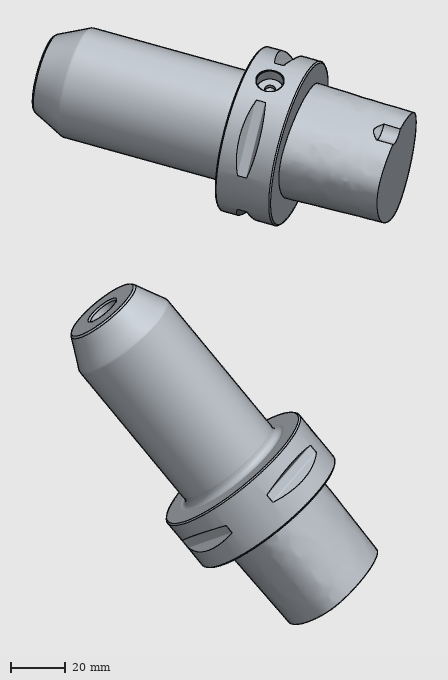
import cadquery as cq
import math

length = 138.0
nose_end = 12.4
neck_start = 74.5
undercut_start = 75.8
flange_start = 78.0
flange_end = 99.8

body_diameter = 42.0
neck_diameter = 41.8
flange_diameter = 63.0
nose_diameter = 30.5
nose_chamfer = 0.7
shoulder_length = 0.5
shoulder_drop = 0.1
neck_ramp = 0.4
flange_chamfer = 0.5

undercut_radius = 2.3
undercut_rim_width = 1.0

bore_diameter = 12.0
bore_depth = 44.2
bore_chamfer = 0.7

shank_radius = 22.1
shank_taper = 1 / 40
lobe_height = 1.5
lobe_count = 3
outline_points = 72

slot_x = 88.2
slot_count = 4
slot_floor_radius = 28.0
slot_floor_width = 3.6
slot_wall_angle = 30.0
slot_floor_fillet = 0.4

screw_diameter = 10.0
screw_chamfer = 0.3
screw_floor_z = 26.4
screw_socket_diameter = 4.0
screw_socket_depth = 1.4
screw_socket_cone = 1.1

notch_diameter = 10.0
notch_length = 6.5
notch_floor_z = 17.4
notch_cone_length = 5.0


def turned_body():
    """Nose, body, undercut neck and flange, revolved about X."""
    nose_r = nose_diameter / 2
    body_r = body_diameter / 2
    neck_r = neck_diameter / 2
    flange_r = flange_diameter / 2
    undercut_end = undercut_start + undercut_radius
    undercut_r = neck_r + undercut_radius
    bend = undercut_radius * math.sqrt(0.5)
    profile = (
        cq.Workplane("XY")
        .lineTo(0, nose_r - nose_chamfer)
        .lineTo(nose_chamfer, nose_r)
        .lineTo(nose_end, body_r - shoulder_drop)
        .lineTo(nose_end + shoulder_length, body_r)
        .lineTo(neck_start, body_r)
        .lineTo(neck_start + neck_ramp, neck_r)
        .lineTo(undercut_start, neck_r)
        .threePointArc((undercut_start + bend, undercut_r - bend), (undercut_end, undercut_r))
        .lineTo(flange_start, undercut_r + undercut_rim_width)
        .lineTo(flange_start, flange_r - flange_chamfer)
        .lineTo(flange_start + flange_chamfer, flange_r)
        .lineTo(flange_end - flange_chamfer, flange_r)
        .lineTo(flange_end, flange_r - flange_chamfer)
        .lineTo(flange_end, 0)
        .close()
    )
    return profile.revolve(360, (0, 0, 0), (1, 0, 0))


def shank_section(x):
    """Closed three-lobed curve of constant width in the plane at x."""
    radius = shank_radius - shank_taper * (x - flange_end)
    points = []
    for i in range(outline_points):
        angle = 2 * math.pi * i / outline_points
        reach = radius - lobe_height * math.cos(lobe_count * angle)
        slide = lobe_count * lobe_height * math.sin(lobe_count * angle)
        y = reach * math.sin(angle) + slide * math.cos(angle)
        z = reach * math.cos(angle) - slide * math.sin(angle)
        points.append((y, z))
    section = cq.Workplane("YZ", origin=(x, 0, 0)).spline(points, periodic=True).close()
    return section.val()


def shank():
    sections = [shank_section(flange_end), shank_section(length)]
    return cq.Workplane(cq.Solid.makeLoft(sections, True))


def tool_bore():
    """Blind bore from the nose face with a chamfered mouth."""
    radius = bore_diameter / 2
    profile = (
        cq.Workplane("XY")
        .lineTo(0, radius + bore_chamfer)
        .lineTo(bore_chamfer, radius)
        .lineTo(bore_depth, radius)
        .lineTo(bore_depth, 0)
        .close()
    )
    return profile.revolve(360, (0, 0, 0), (1, 0, 0))


def gripper_slot(angle):
    """Straight slot with flared walls and rounded floor corners, cut square to the radius at this angle."""
    depth = flange_diameter / 2 - slot_floor_radius
    floor_half = slot_floor_width / 2
    top_half = floor_half + depth * math.tan(math.radians(slot_wall_angle))
    top = flange_diameter / 2
    profile = [
        (slot_x - floor_half, slot_floor_radius),
        (slot_x + floor_half, slot_floor_radius),
        (slot_x + top_half, top),
        (slot_x - top_half, top),
    ]
    slot = cq.Workplane("XZ").polyline(profile).close().extrude(flange_diameter / 2, both=True)
    slot = slot.faces("<Z").edges("|Y").fillet(slot_floor_fillet)
    return slot.rotate((0, 0, 0), (1, 0, 0), angle)


def screw_hole():
    """Flat-bottomed hole with a small cone-ended socket, revolved about its own axis."""
    radius = screw_diameter / 2
    socket_r = screw_socket_diameter / 2
    top = flange_diameter / 2
    socket_z = screw_floor_z - screw_socket_depth
    rim_z = math.sqrt(top**2 - radius**2) - screw_chamfer
    profile = (
        cq.Workplane("XZ", origin=(slot_x, 0, 0))
        .moveTo(0, socket_z - screw_socket_cone)
        .lineTo(socket_r, socket_z)
        .lineTo(socket_r, screw_floor_z)
        .lineTo(radius, screw_floor_z)
        .lineTo(radius, rim_z)
        .lineTo(radius + screw_chamfer, rim_z + screw_chamfer)
        .lineTo(radius + screw_chamfer, top)
        .lineTo(0, top)
        .close()
    )
    return profile.revolve(360, (0, 0, 0), (0, 1, 0))


def end_notch():
    """Round-bottomed trough along X with a conical inner end."""
    radius = notch_diameter / 2
    start = length - notch_length
    profile = (
        cq.Workplane("XZ", origin=(0, 0, notch_floor_z + radius))
        .moveTo(start - notch_cone_length, 0)
        .lineTo(start, radius)
        .lineTo(length, radius)
        .lineTo(length, 0)
        .close()
    )
    return profile.revolve(360, (0, 0, 0), (1, 0, 0))


result = turned_body().union(shank())
result = result.cut(tool_bore())
for i in range(slot_count):
    result = result.cut(gripper_slot((i + 0.5) * 360 / slot_count))
result = result.cut(screw_hole()).cut(end_notch())